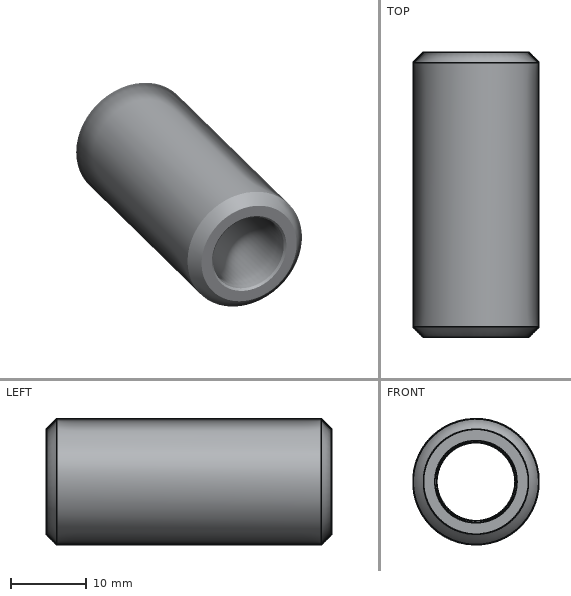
import cadquery as cq

length = 38.0
outer_diameter = 16.8
bore_diameter = 10.4
outer_chamfer = 1.4
bore_chamfer = 0.25


def centred_cylinder(diameter):
    """Full-length cylinder along Y, centred on the origin."""
    end_plane = cq.Workplane("XZ", origin=(0, length / 2, 0))
    return end_plane.circle(diameter / 2).extrude(length)


def chamfered_body():
    """Solid body with both outer end edges chamfered."""
    body = centred_cylinder(outer_diameter)
    return body.faces("<Y or >Y").edges().chamfer(outer_chamfer)


def cut_bore(body):
    """Through bore with a small lead-in chamfer at each mouth."""
    bored = body.cut(centred_cylinder(bore_diameter))
    mouth_edges = cq.selectors.RadiusNthSelector(0)
    return bored.faces("<Y or >Y").edges(mouth_edges).chamfer(bore_chamfer)


result = cut_bore(chamfered_body())